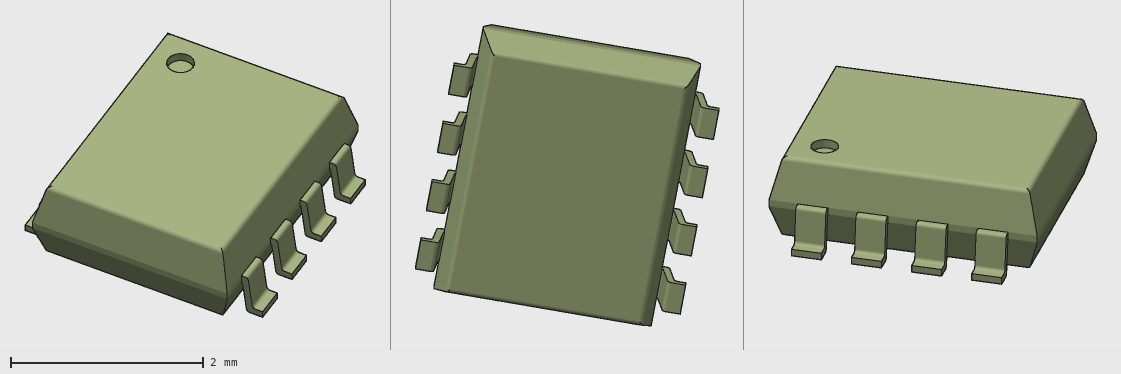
import cadquery as cq
import math

body_width = 2.3
body_length = 2.9
body_bottom = 0.017
body_top = 0.95
wall_inset = 0.115
top_rim_radius = 0.058
bottom_rim_radius = 0.05

dimple_diameter = 0.287
dimple_depth = 0.1
dimple_x = -0.693

lead_span = 2.8
lead_width = 0.325
lead_thickness = 0.078
lead_pitch = 0.65
leads_per_side = 4
lead_top = 0.485
foot_length = 0.12
shank_angle = 7.5
bend_radius = 0.04

belt_top = lead_top
belt_bottom = belt_top - lead_thickness
tip_x = lead_span / 2
lead_positions = [
    (i - (leads_per_side - 1) / 2) * lead_pitch for i in range(leads_per_side)
]


def make_tapered_half(start_z, end_z):
    """Frustum that narrows from the belt outline at start_z to end_z."""
    height = abs(end_z - start_z)
    draft = math.degrees(math.atan2(wall_inset, height))
    direction = 1 if end_z > start_z else -1
    return (
        cq.Workplane(cq.Plane((0, 0, start_z), (1, 0, 0), (0, 0, direction)))
        .rect(body_width, body_length)
        .extrude(height, taper=draft)
    )


def make_body():
    belt = (
        cq.Workplane("XY")
        .workplane(offset=belt_bottom)
        .rect(body_width, body_length)
        .extrude(lead_thickness)
    )
    upper = make_tapered_half(belt_top, body_top).faces(">Z").edges().fillet(top_rim_radius)
    lower = make_tapered_half(belt_bottom, body_bottom).faces("<Z").edges().fillet(bottom_rim_radius)
    dimple = (
        cq.Workplane("XY")
        .workplane(offset=body_top - dimple_depth)
        .center(dimple_x, lead_positions[-1])
        .circle(dimple_diameter / 2)
        .extrude(dimple_depth)
    )
    return belt.union(upper).union(lower).cut(dimple)


def make_lead(y, side):
    """Lead centred at y, on the +X side (side = 1) or the -X side (side = -1)."""
    lean = math.tan(math.radians(shank_angle))
    shank_width = lead_thickness / math.cos(math.radians(shank_angle))
    shank_height = lead_top - lead_thickness
    ankle_x = tip_x - foot_length
    shoulder_x = ankle_x - shank_height * lean
    heel_x = ankle_x - shank_width + lead_thickness * lean
    armpit_x = heel_x - shank_height * lean
    root_x = armpit_x - bend_radius

    outline = [
        (root_x, lead_top),
        (shoulder_x, lead_top),
        (ankle_x, lead_thickness),
        (tip_x, lead_thickness),
        (tip_x, 0),
        (heel_x, 0),
        (armpit_x, shank_height),
        (root_x, shank_height),
    ]
    lead = (
        cq.Workplane("XZ")
        .polyline([(side * x, z) for x, z in outline])
        .close()
        .extrude(lead_width / 2, both=True)
    )
    bend_corners = [
        (shoulder_x, lead_top),
        (ankle_x, lead_thickness),
        (heel_x, 0),
        (armpit_x, shank_height),
    ]
    for x, z in bend_corners:
        lead = lead.edges(cq.NearestToPointSelector((side * x, 0, z))).fillet(bend_radius)

    trim_block = cq.Workplane("XY").box(body_width, body_length, 2 * lead_top)
    lead = lead.cut(trim_block)
    return lead.translate((0, y, 0))


body = make_body()
leads = [make_lead(y, side) for side in (-1, 1) for y in lead_positions]

result = cq.Compound.makeCompound([body.val(), *[lead.val() for lead in leads]])